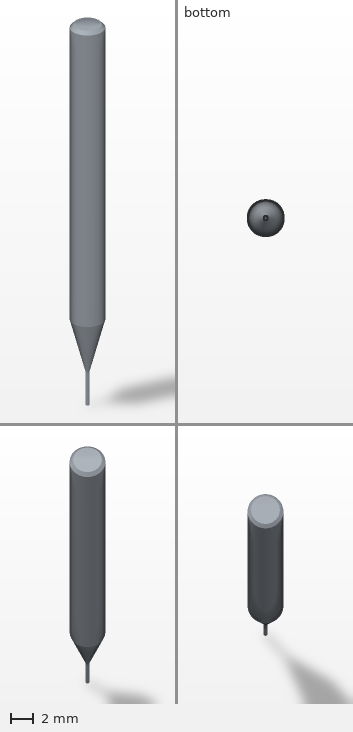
import cadquery as cq
import math

overall_length = 38.1
shank_diameter = 3.175
shank_chamfer = shank_diameter / 10
drill_diameter = 0.35
drill_length = 3.38
point_angle = 130.0
taper_angle = 30.0

shank_radius = shank_diameter / 2
drill_radius = drill_diameter / 2
point_height = drill_radius / math.tan(math.radians(point_angle / 2))
taper_height = (shank_radius - drill_radius) / math.tan(math.radians(taper_angle / 2))

taper_bottom = drill_length
taper_top = taper_bottom + taper_height


def revolve_about_z(half_profile):
    """Turn a closed (radius, height) outline a full turn about the Z axis."""
    return cq.Workplane("XZ").polyline(half_profile).close().revolve(360, (0, 0), (0, 1))


def make_shank():
    return revolve_about_z([
        (0, taper_bottom),
        (drill_radius, taper_bottom),
        (shank_radius, taper_top),
        (shank_radius, overall_length - shank_chamfer),
        (shank_radius - shank_chamfer, overall_length),
        (0, overall_length),
    ])


def make_drill():
    return revolve_about_z([
        (0, 0),
        (drill_radius, point_height),
        (drill_radius, taper_bottom),
        (0, taper_bottom),
    ])


shank = make_shank()
drill = make_drill()

result = cq.Compound.makeCompound([shank.val(), drill.val()])